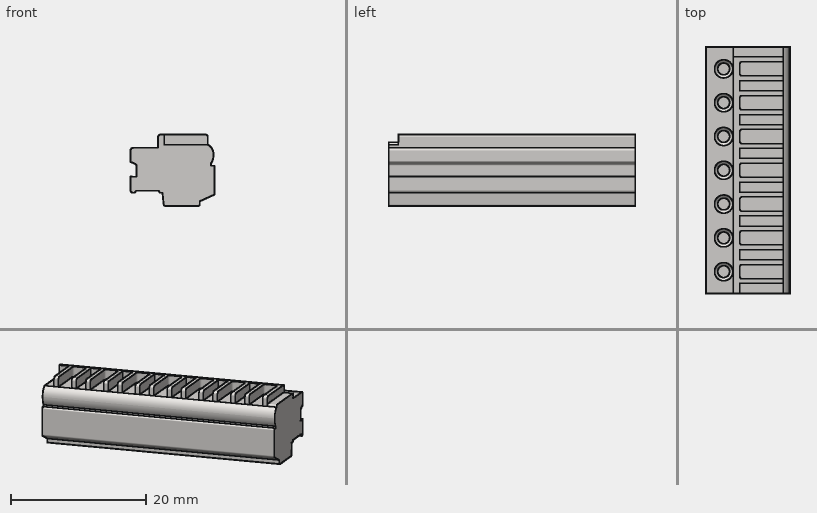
import cadquery as cq

WIDTH = 12.5
LENGTH = 36.5
HEIGHT = 10.6

POLE_COUNT = 7
POLE_PITCH = 5.0
FIRST_POLE_Y = (LENGTH - (POLE_COUNT - 1) * POLE_PITCH) / 2

FOOT_LEFT = 4.95
FOOT_LEFT_TOP = 4.75
FOOT_RIGHT = 10.3
FOOT_RIGHT_HEIGHT = 0.7
FOOT_EDGE_RADIUS = 0.3

RIGHT_WALL_BOTTOM = 1.7
RIGHT_WALL_TOP = 6.0
RIGHT_WALL_RADIUS = 0.3
RIGHT_WALL_TOP_RADIUS = 0.2
NOTCH_X = 11.95
NOTCH_TOP = 6.3
BULGE_X = 12.35
BULGE_Z = 7.6

SHOULDER_Z = 8.65
SHOULDER_RADIUS = 0.5
GROOVE_DEPTH = 0.9
GROOVE_MOUTH_TOP = 6.55
GROOVE_TOP = 6.15
GROOVE_BOTTOM = 4.35
GROOVE_MOUTH_RADIUS = 0.2
GROOVE_ROOT_RADIUS = 0.25
BEAD_WIDTH = 0.3
BEAD_HEIGHT = 0.1
BEAD_SLANT = 0.1
UNDERSIDE_Z = 2.25
LIP_BOTTOM = 1.95
LIP_FLAT_END = 0.65
LIP_WIDTH = 0.85
LIP_RADIUS = 0.45
LIP_INNER_RADIUS = 0.1
STEP_START_X = 4.2
STEP_END_X = 4.4
STEP_Z = 1.95

RAIL_LEFT = 4.1
RAIL_RIGHT = 11.5
RAIL_RADIUS = 0.4
POCKET_LEFT = 5.05
POCKET_FLOOR = 9.1
WIDE_POCKET = 2.1
WIDE_POCKET_RADIUS = 0.3
NARROW_POCKET = 1.5

LAND_LENGTH = 1.45
LAND_Z = 9.45
LAND_RIGHT_RADIUS = 0.25

RECESS_X = 2.65
RECESS_TOP_DIAMETER = 2.7
RECESS_FLOOR_DIAMETER = 1.75
RECESS_DEPTH = 0.45


def round_edge(solid, x, z, radius):
    """Fillet the lengthwise edge passing through (x, z)."""
    edge = cq.selectors.NearestToPointSelector((x, LENGTH / 2, z))
    return solid.edges("|Y").edges(edge).fillet(radius)


def bulge_radius(x, z):
    """Radius of the arc from (x, z) that is vertical at the crest of the bulge."""
    across = BULGE_X - x
    along = BULGE_Z - z
    return (across**2 + along**2) / (2 * across)


def make_body():
    """Lengthwise body up to the pocket floor, without the rail."""
    body = (
        cq.Workplane("XZ")
        .moveTo(FOOT_LEFT, 0)
        .lineTo(FOOT_RIGHT, 0)
        .lineTo(FOOT_RIGHT, FOOT_RIGHT_HEIGHT)
        .lineTo(WIDTH, RIGHT_WALL_BOTTOM)
        .lineTo(WIDTH, RIGHT_WALL_TOP)
        .lineTo(NOTCH_X, RIGHT_WALL_TOP)
        .lineTo(NOTCH_X, NOTCH_TOP)
        .radiusArc((BULGE_X, BULGE_Z), -bulge_radius(NOTCH_X, NOTCH_TOP))
        .radiusArc((RAIL_RIGHT, POCKET_FLOOR), -bulge_radius(RAIL_RIGHT, POCKET_FLOOR))
        .lineTo(RAIL_LEFT, POCKET_FLOOR)
        .lineTo(RAIL_LEFT, SHOULDER_Z)
        .lineTo(0, SHOULDER_Z)
        .lineTo(0, GROOVE_MOUTH_TOP)
        .lineTo(GROOVE_DEPTH, GROOVE_TOP)
        .lineTo(GROOVE_DEPTH, GROOVE_BOTTOM)
        .lineTo(BEAD_WIDTH, GROOVE_BOTTOM)
        .lineTo(BEAD_WIDTH - BEAD_SLANT, GROOVE_BOTTOM + BEAD_HEIGHT)
        .lineTo(BEAD_SLANT, GROOVE_BOTTOM + BEAD_HEIGHT)
        .lineTo(0, GROOVE_BOTTOM)
        .lineTo(0, LIP_BOTTOM)
        .lineTo(LIP_FLAT_END, LIP_BOTTOM)
        .lineTo(LIP_WIDTH, UNDERSIDE_Z)
        .lineTo(STEP_START_X, UNDERSIDE_Z)
        .lineTo(STEP_END_X, STEP_Z)
        .lineTo(FOOT_LEFT_TOP, STEP_Z)
        .close()
        .extrude(-LENGTH)
    )
    rounded_edges = [
        (FOOT_LEFT, 0, FOOT_EDGE_RADIUS),
        (FOOT_RIGHT, 0, FOOT_EDGE_RADIUS),
        (WIDTH, RIGHT_WALL_BOTTOM, RIGHT_WALL_RADIUS),
        (WIDTH, RIGHT_WALL_TOP, RIGHT_WALL_TOP_RADIUS),
        (0, SHOULDER_Z, SHOULDER_RADIUS),
        (0, GROOVE_MOUTH_TOP, GROOVE_MOUTH_RADIUS),
        (GROOVE_DEPTH, GROOVE_TOP, GROOVE_ROOT_RADIUS),
        (0, LIP_BOTTOM, LIP_RADIUS),
        (LIP_FLAT_END, LIP_BOTTOM, LIP_INNER_RADIUS),
    ]
    for x, z, radius in rounded_edges:
        body = round_edge(body, x, z, radius)
    return body


def make_rail_block(y_start, y_end, top_z, right_radius):
    """Stretch of rail with both upper lengthwise edges rounded."""
    block = cq.Workplane("XY").box(
        RAIL_RIGHT - RAIL_LEFT, y_end - y_start, top_z - SHOULDER_Z, centered=False
    )
    block = block.translate((RAIL_LEFT, y_start, SHOULDER_Z))
    block = block.edges("|Y and >Z and <X").fillet(RAIL_RADIUS)
    return block.edges("|Y and >Z and >X").fillet(right_radius)


def make_pocket(center_y, width):
    """Cutter for one pocket, open at the top and on the right."""
    return cq.Workplane("XY").box(
        WIDTH - POCKET_LEFT, width, HEIGHT - POCKET_FLOOR, centered=(False, True, False)
    ).translate((POCKET_LEFT, center_y, POCKET_FLOOR))


def make_recess(center_y):
    """Conical cutter for one flat-bottomed screw recess."""
    return (
        cq.Workplane("XY", origin=(RECESS_X, center_y, SHOULDER_Z - RECESS_DEPTH))
        .circle(RECESS_FLOOR_DIAMETER / 2)
        .workplane(offset=RECESS_DEPTH)
        .circle(RECESS_TOP_DIAMETER / 2)
        .loft()
    )


land_start = LENGTH - LAND_LENGTH
rail = make_rail_block(0, land_start, HEIGHT, RAIL_RADIUS)
land = make_rail_block(land_start, LENGTH, LAND_Z, LAND_RIGHT_RADIUS)
result = make_body().union(rail).union(land)

for pole in range(POLE_COUNT):
    pole_y = FIRST_POLE_Y + pole * POLE_PITCH
    wide_pocket = make_pocket(pole_y, WIDE_POCKET).edges("|Z and <X").fillet(WIDE_POCKET_RADIUS)
    narrow_pocket = make_pocket(pole_y - POLE_PITCH / 2, NARROW_POCKET)
    result = result.cut(wide_pocket).cut(narrow_pocket).cut(make_recess(pole_y))